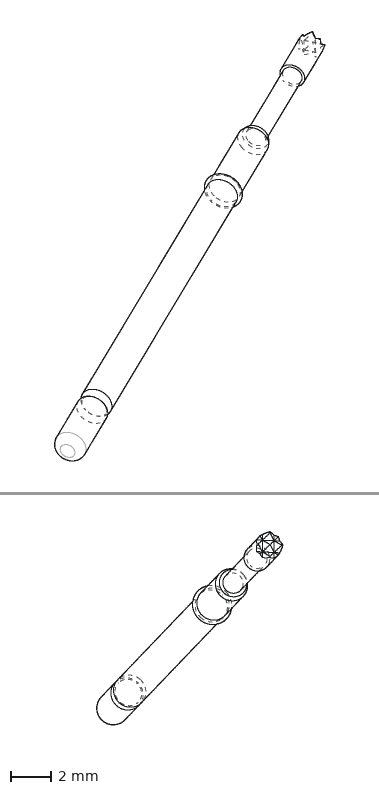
import cadquery as cq


total_length = 35.7
tail_length = 3.6
crimp_width = 0.6
collar_from_tip = 13.0
barrel_from_tip = 8.3
nose_length = 0.35
head_length = 2.95

barrel_radius = 1.65 / 2
collar_radius = 2.0 / 2
collar_bead_radius = 0.2
crimp_radius = 1.38 / 2
nose_radius = 1.4 / 2
stem_radius = 1.04 / 2
head_radius = 1.32 / 2
tail_flat_radius = 0.39

tooth_pitch = 0.6
tooth_depth = 0.4

tail_round = barrel_radius - tail_flat_radius
crimp_end_y = tail_length + crimp_width
crimp_middle_y = tail_length + crimp_width / 2
collar_y = total_length - collar_from_tip
nose_y = total_length - barrel_from_tip
head_y = total_length - head_length


def make_body():
    """Revolve the half profile of tail, barrel, stem and head about Y."""
    profile = (
        cq.Workplane("XY")
        .lineTo(tail_flat_radius, 0)
        .tangentArcPoint((barrel_radius, tail_round), relative=False)
        .lineTo(barrel_radius, tail_length)
        .threePointArc((crimp_radius, crimp_middle_y), (barrel_radius, crimp_end_y))
        .lineTo(barrel_radius, nose_y - nose_length)
        .lineTo(nose_radius, nose_y)
        .lineTo(stem_radius, nose_y)
        .lineTo(stem_radius, head_y)
        .lineTo(head_radius, head_y)
        .lineTo(head_radius, total_length)
        .lineTo(0, total_length)
        .close()
    )
    return profile.revolve(360, (0, 0, 0), (0, 1, 0))


def make_collar():
    """Revolve the round section of the press collar about Y."""
    ring_radius = collar_radius - collar_bead_radius
    return (
        cq.Workplane("XY")
        .center(ring_radius, collar_y)
        .circle(collar_bead_radius)
        .revolve(360, (-ring_radius, 0, 0), (-ring_radius, 1, 0))
    )


def tooth_groove(offset):
    """V groove along Z, centred at X = offset, opening at the tip."""
    half_width = tooth_pitch / 2
    return (
        cq.Workplane("XY")
        .moveTo(offset - half_width, total_length)
        .lineTo(offset, total_length - tooth_depth)
        .lineTo(offset + half_width, total_length)
        .close()
        .extrude(2 * head_radius, both=True)
    )


def cut_teeth(body):
    """Cut two grooves along Z and two along X, leaving teeth on the axis and the rim."""
    for offset in (-tooth_pitch / 2, tooth_pitch / 2):
        groove = tooth_groove(offset)
        body = body.cut(groove)
        body = body.cut(groove.rotate((0, 0, 0), (0, 1, 0), 90))
    return body


result = cut_teeth(make_body().union(make_collar()))